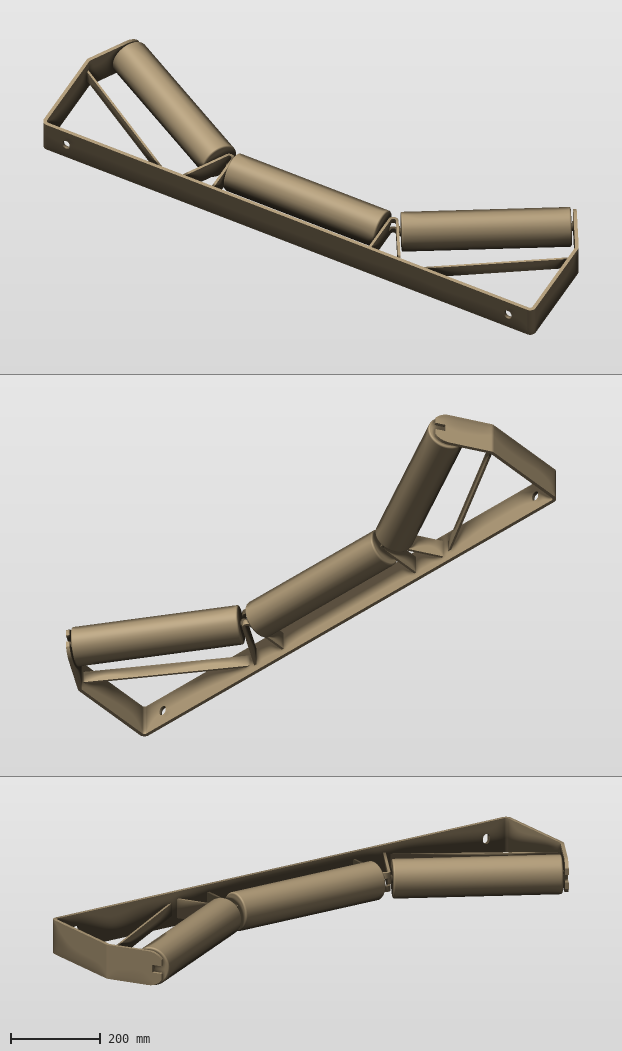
import cadquery as cq
import math


ROLLER_DIAMETER = 89.0
ROLLER_RADIUS = ROLLER_DIAMETER / 2
ROLLER_LENGTH = 380.0
ROLLER_EDGE_RADIUS = 4.0
SHAFT_WIDTH = 18.0
SHAFT_RADIUS = SHAFT_WIDTH / 2
PLATE_GAP = 5.0
NECK_LENGTH = PLATE_GAP / 2
FACE_OFFSET = ROLLER_LENGTH / 2 + PLATE_GAP

TILT = math.radians(30.0)
UP_SLOPE = cq.Vector(math.sin(TILT), math.cos(TILT))
INWARD = cq.Vector(math.cos(TILT), -math.sin(TILT))
TOTAL_DEPTH = 339.97
TOP_EDGE_RISE = ((ROLLER_LENGTH / 2 - ROLLER_EDGE_RADIUS) * math.sin(TILT)
                 + (ROLLER_RADIUS - ROLLER_EDGE_RADIUS) * math.cos(TILT)
                 + ROLLER_EDGE_RADIUS)
WING_CENTRE = cq.Vector(-393.0, TOTAL_DEPTH - TOP_EDGE_RISE)
CENTRE_AXIS_Y = 100.0

FRAME_LENGTH = 1240.0
FRAME_HEIGHT = 80.0
FRAME_THICKNESS = 8.0
FRAME_BEND_RADIUS = 14.0
FRAME_END_X = -FRAME_LENGTH / 2
FRAME_INNER_X = FRAME_END_X + FRAME_THICKNESS
TIP_BEYOND_AXIS = 32.0
TIP_RADIUS = FRAME_HEIGHT / 2
MOUNT_HOLE_LENGTH = 24.0
MOUNT_HOLE_WIDTH = 18.0
MOUNT_HOLE_X = 557.0

BRACKET_THICKNESS = 6.0
BRACKET_HEIGHT = 45.0
BRACKET_BEND_RADIUS = 12.0

STRUT_THICKNESS = 5.0
STRUT_HEIGHT = 30.0
STRUT_END_Y = 212.0
STRUT_FOOT_X = -297.0

SLOT_CUT_LENGTH = 100.0


def slab(points, height):
    """Extrude an XY outline, centred on Z = 0."""
    outline = [(p.x, p.y) for p in points]
    return cq.Workplane("XY").polyline(outline).close().extrude(height / 2, both=True)


def round_bend(body, corner, radius):
    """Round the Z edge that stands at an XY corner."""
    nearest = cq.selectors.NearestToPointSelector((corner.x, corner.y, 0))
    return body.edges(nearest).fillet(radius)


def mirrored(body):
    return body.mirror("YZ")


def wing_plane(distance):
    """Plane across the left wing axis, 'distance' outward of the roller middle; its X runs up the slope."""
    return cq.Plane(WING_CENTRE - INWARD * distance, UP_SLOPE, INWARD * -1)


def centre_plane(distance):
    """Plane across the centre roller axis, 'distance' toward -X; its X runs along +Y."""
    return cq.Plane((-distance, CENTRE_AXIS_Y, 0), (0, 1, 0), (-1, 0, 0))


def slope_at_x(start, x):
    return start + UP_SLOPE * ((x - start.x) / UP_SLOPE.x)


def slope_at_y(start, y):
    return start + UP_SLOPE * ((y - start.y) / UP_SLOPE.y)


def u_profile(plane, top):
    """Section with a round bottom about the plane origin, straight sides and a flat at 'top'."""
    return (cq.Workplane(plane)
            .moveTo(top, -SHAFT_RADIUS)
            .lineTo(0, -SHAFT_RADIUS)
            .threePointArc((-SHAFT_RADIUS, 0), (0, SHAFT_RADIUS))
            .lineTo(top, SHAFT_RADIUS)
            .close())


def roller(plane_at, outer_plate, inner_plate):
    """Roller and shaft; each shaft end is U-shaped and finishes flush with the far side of its plate."""
    body = (cq.Workplane(plane_at(-ROLLER_LENGTH / 2)).circle(ROLLER_RADIUS)
            .extrude(ROLLER_LENGTH).edges("%CIRCLE").fillet(ROLLER_EDGE_RADIUS))
    neck_end = ROLLER_LENGTH / 2 + NECK_LENGTH
    shaft = cq.Workplane(plane_at(-neck_end)).circle(SHAFT_RADIUS).extrude(2 * neck_end)
    end_length = PLATE_GAP - NECK_LENGTH
    outer_end = u_profile(plane_at(neck_end), SHAFT_RADIUS).extrude(end_length + outer_plate)
    inner_end = u_profile(plane_at(-neck_end), SHAFT_RADIUS).extrude(-end_length - inner_plate)
    return body.union(shaft).union(outer_end).union(inner_end)


def left_half_frame():
    inner_axis = WING_CENTRE - INWARD * FACE_OFFSET
    outer_axis = inner_axis - INWARD * FRAME_THICKNESS
    to_tip = UP_SLOPE * TIP_BEYOND_AXIS
    outer_corner = cq.Vector(FRAME_END_X, 0)
    inner_corner = cq.Vector(FRAME_INNER_X, FRAME_THICKNESS)
    outer_knee = slope_at_x(outer_axis, FRAME_END_X)
    inner_knee = slope_at_x(inner_axis, FRAME_INNER_X)
    half = slab([cq.Vector(0, 0), outer_corner, outer_knee, outer_axis + to_tip,
                 inner_axis + to_tip, inner_knee, inner_corner,
                 cq.Vector(0, FRAME_THICKNESS)], FRAME_HEIGHT)
    for corner in (outer_corner, outer_knee):
        half = round_bend(half, corner, FRAME_BEND_RADIUS)
    for corner in (inner_corner, inner_knee):
        half = round_bend(half, corner, FRAME_BEND_RADIUS - FRAME_THICKNESS)

    face = wing_plane(FACE_OFFSET)
    tip_block = (cq.Workplane(face).center(TIP_RADIUS / 2, 0)
                 .rect(TIP_RADIUS, FRAME_HEIGHT).extrude(FRAME_THICKNESS))
    round_tip = cq.Workplane(face).circle(TIP_RADIUS).extrude(FRAME_THICKNESS)
    half = half.cut(tip_block.cut(round_tip))

    shaft_slot = u_profile(face, SLOT_CUT_LENGTH).extrude(FRAME_THICKNESS)
    mount_hole = (cq.Workplane("XZ").center(-MOUNT_HOLE_X, 0)
                  .slot2D(MOUNT_HOLE_LENGTH, MOUNT_HOLE_WIDTH, 90).extrude(-FRAME_THICKNESS))
    return half.cut(shaft_slot).cut(mount_hole)


def left_bracket():
    upright_outer_x = -FACE_OFFSET
    upright_inner_x = upright_outer_x - BRACKET_THICKNESS
    slope_outer = WING_CENTRE + INWARD * FACE_OFFSET
    slope_inner = slope_outer + INWARD * BRACKET_THICKNESS
    outer_apex = slope_at_x(slope_outer, upright_outer_x)
    inner_apex = slope_at_x(slope_inner, upright_inner_x)
    body = slab([cq.Vector(upright_outer_x, FRAME_THICKNESS), outer_apex,
                 slope_at_y(slope_outer, FRAME_THICKNESS), slope_at_y(slope_inner, FRAME_THICKNESS),
                 inner_apex, cq.Vector(upright_inner_x, FRAME_THICKNESS)], BRACKET_HEIGHT)
    body = round_bend(body, outer_apex, BRACKET_BEND_RADIUS)
    body = round_bend(body, inner_apex, BRACKET_BEND_RADIUS - BRACKET_THICKNESS)

    upright_slot = u_profile(centre_plane(FACE_OFFSET), SLOT_CUT_LENGTH).extrude(BRACKET_THICKNESS)
    slope_slot = u_profile(wing_plane(-FACE_OFFSET), SLOT_CUT_LENGTH).extrude(-BRACKET_THICKNESS)
    bend_start_y = WING_CENTRE.y - FACE_OFFSET * math.sin(TILT)
    bend_slot = (cq.Workplane("XY")
                 .box(SLOT_CUT_LENGTH, SLOT_CUT_LENGTH, SHAFT_WIDTH, centered=(True, False, True))
                 .translate((upright_outer_x, bend_start_y, 0)))
    return body.cut(upright_slot).cut(slope_slot).cut(bend_slot)


def left_strut():
    slope = math.atan2(STRUT_END_Y - FRAME_THICKNESS, STRUT_FOOT_X - FRAME_INNER_X)
    end_depth = STRUT_THICKNESS / math.cos(slope)
    foot_width = STRUT_THICKNESS / math.sin(slope)
    return slab([cq.Vector(FRAME_INNER_X, STRUT_END_Y),
                 cq.Vector(STRUT_FOOT_X, FRAME_THICKNESS),
                 cq.Vector(STRUT_FOOT_X - foot_width, FRAME_THICKNESS),
                 cq.Vector(FRAME_INNER_X, STRUT_END_Y - end_depth)], STRUT_HEIGHT)


half_frame = left_half_frame()
frame = half_frame.union(mirrored(half_frame))
bracket = left_bracket()
strut = left_strut()
wing_roller = roller(wing_plane, FRAME_THICKNESS, BRACKET_THICKNESS)
centre_roller = roller(centre_plane, BRACKET_THICKNESS, BRACKET_THICKNESS)

bodies = [*frame.solids().vals(), *centre_roller.solids().vals()]
for side_body in (bracket, strut, wing_roller):
    for copy in (side_body, mirrored(side_body)):
        bodies.extend(copy.solids().vals())

result = cq.Compound.makeCompound(bodies)